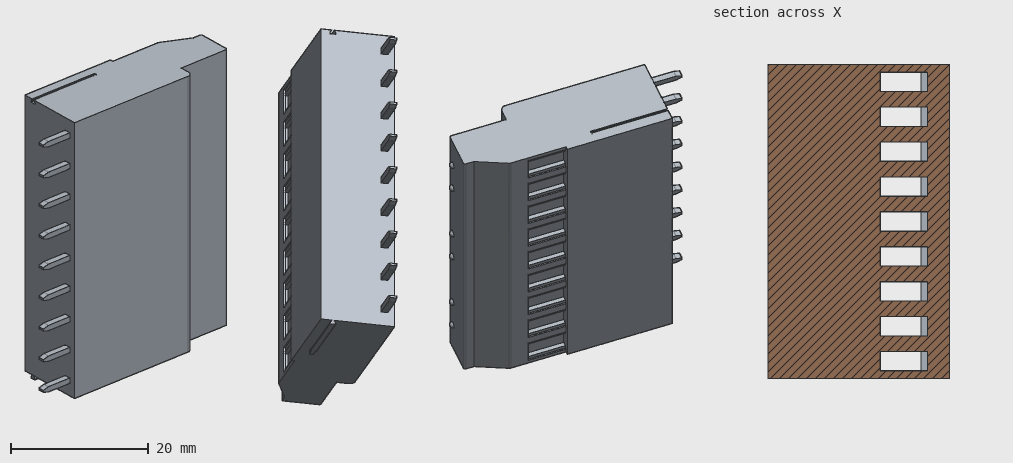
import cadquery as cq

poles = 9
total_height = 46.3
body_height = 45.7
pitch = body_height / poles
half_width = 5.55
body_length = 31.45
overlap = 0.25

thick_length = 16.4
window_face_x = -5.05
bevel_start_y = 25.15
bevel_end_y = 29.9
nose_left_x = -2.83
nose_right_x = 3.0
shoulder_y = 22.6
shoulder_radius = 0.9
nose_radius = 0.3
bevel_radius = 0.7

window_end_y = 22.3
frame_height = 3.85
frame_depth = 0.25
opening_height = 2.8
opening_depth = 0.93
opening_undercut = 0.93

pin_x = 4.0
pin_width = 1.0
pin_thickness = 0.9
pin_length = 5.05
pin_taper_length = 0.95
pin_tip_thickness = 0.32

bump_x = 1.7
bump_radius = 0.5
bump_boundaries = (1, 2, 4, 5, 7, 8)

dovetail_x = -3.75
dovetail_length = 11.95
lead_length = 1.0
lead_width = 0.55
dovetail_height = total_height - body_height
dovetail_lip = 0.15
neck_width = 0.35
flange_width = 0.9


def box(x_range, y_range, z_range):
    """Box between the given pairs of limits."""
    (x0, x1), (y0, y1), (z0, z1) = x_range, y_range, z_range
    return cq.Workplane("XY").box(x1 - x0, y1 - y0, z1 - z0, centered=False).translate((x0, y0, z0))


def around(center, size):
    """Limits of a span of the given size about its center."""
    return (center - size / 2, center + size / 2)


def housing():
    outline = [
        (-half_width, 0),
        (half_width, 0),
        (half_width, shoulder_y),
        (nose_right_x, shoulder_y),
        (nose_right_x, body_length),
        (nose_left_x, body_length),
        (nose_left_x, bevel_end_y),
        (window_face_x, bevel_start_y),
        (window_face_x, thick_length),
        (-half_width, thick_length),
    ]
    rounded_corners = [
        ((half_width, shoulder_y), shoulder_radius),
        ((nose_right_x, body_length), nose_radius),
        ((nose_left_x, body_length), nose_radius),
        ((window_face_x, bevel_start_y), bevel_radius),
    ]
    body = cq.Workplane("XY").polyline(outline).close().extrude(body_height)
    for (x, y), radius in rounded_corners:
        corner = cq.selectors.NearestToPointSelector((x, y, body_height / 2))
        body = body.edges(corner).fillet(radius)
    return body


def window(z):
    frame_floor_x = window_face_x + frame_depth
    opening_floor_x = window_face_x + opening_depth
    opening_end_y = window_end_y + opening_undercut
    frame = box((window_face_x, frame_floor_x), (thick_length, window_end_y), around(z, frame_height))
    opening = box((frame_floor_x, opening_floor_x), (thick_length, opening_end_y), around(z, opening_height))
    return frame.union(opening)


def pin(z):
    half = pin_thickness / 2
    half_tip = pin_tip_thickness / 2
    taper_y = pin_taper_length - pin_length
    side = [
        (overlap, half),
        (taper_y, half),
        (-pin_length, half_tip),
        (-pin_length, -half_tip),
        (taper_y, -half),
        (overlap, -half),
    ]
    blade = cq.Workplane("YZ").polyline(side).close().extrude(pin_width / 2, both=True)
    return blade.translate((pin_x, 0, z))


def bump(z):
    return cq.Workplane("XY").sphere(bump_radius).translate((bump_x, body_length, z))


def dovetail(start_y, end_y, root_z):
    """Dovetail bar that hangs below root_z and widens downward to its lip."""
    section = [
        (neck_width / 2, overlap),
        (neck_width / 2, 0),
        (flange_width / 2, dovetail_lip - dovetail_height),
        (flange_width / 2, -dovetail_height),
        (-flange_width / 2, -dovetail_height),
        (-flange_width / 2, dovetail_lip - dovetail_height),
        (-neck_width / 2, 0),
        (-neck_width / 2, overlap),
    ]
    bar = cq.Workplane("XZ").polyline(section).close().extrude(start_y - end_y)
    return bar.translate((dovetail_x, start_y, root_z))


def rib():
    lead_start = dovetail_length - lead_length
    bar = dovetail(0, lead_start, 0)
    lead = box(around(dovetail_x, lead_width), (lead_start, dovetail_length), (-dovetail_height, overlap))
    return bar.union(lead)


result = housing().cut(dovetail(0, dovetail_length, body_height)).union(rib())

for pole in range(poles):
    pole_z = (pole + 0.5) * pitch
    result = result.cut(window(pole_z)).union(pin(pole_z))

for boundary in bump_boundaries:
    result = result.union(bump(boundary * pitch))